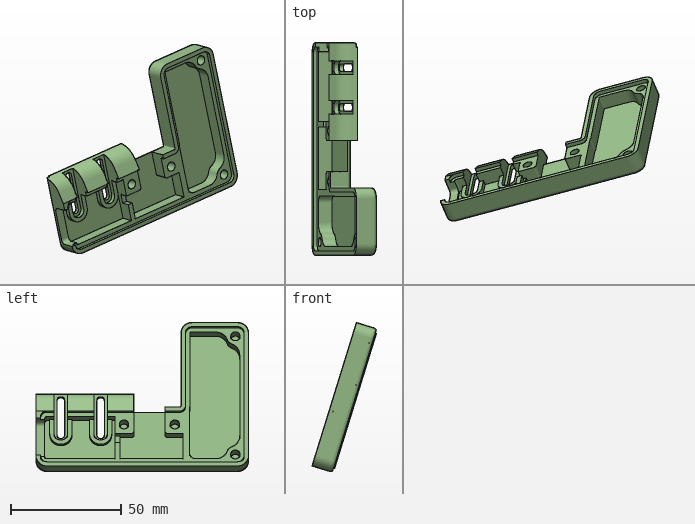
import cadquery as cq
import math

LEAN_ANGLE = 17.2

TOTAL_LENGTH = 96.3
TOTAL_DEPTH = 10.16
BODY_WIDTH = 30.6
BODY_HEIGHT = 68.02
ARM_HEIGHT = 28.0
CORNER_RADIUS = 5.0
INNER_CORNER_RADIUS = 0.6
FLOOR_DEPTH = 8.2
BACK_ROUNDING = 2.0
BACK_LEDGE_DEPTH = 9.6

RIM = 2.0
RECESS_DEPTH = 1.8
WALL = 4.0
POCKET_DEPTH = FLOOR_DEPTH - RECESS_DEPTH

GAP_START = 37.9
GAP_END = 51.9

SCREW_DIAMETER = 4.2
BODY_SCREW_INSET = 6.0
ARM_SCREW_HEIGHT = 20.25
ARM_SCREW_POSITIONS = (33.4, 56.4)
BLOCK_BOTTOM = 16.0
BLOCK_CORNER_RADIUS = 1.2

BODY_SCREW_WALL_RADIUS = 4.0
BODY_SCREW_BLEND = 5.5
BODY_POCKET_RADIUS = 3.0
BODY_POCKET_TOP_RADIUS = 0.5
BODY_POCKET_WIDENING = 0.25
BODY_POCKET_STEP = (27.8, 28.6)

MIDDLE_POCKET_START = 29.8
MIDDLE_POCKET_END = 58.2
END_POCKET_START = 60.5
END_POCKET_TOP = 24.0
END_POCKET_RADIUS = 1.0
DIVIDER_STEP_HEIGHT = 11.8
LOW_RIB_DEPTH = 6.0

BARREL_FRONT_HEIGHT = ARM_HEIGHT - RIM
BARREL_ARC_START = (1.9, 31.0)
BARREL_ARC_END = (7.8, 36.45)
BARREL_TOP_HEIGHT = BARREL_ARC_END[1] + (TOTAL_DEPTH - BARREL_ARC_END[0]) * math.tan(math.radians(LEAN_ANGLE))

CHANNEL_POSITIONS = (67.0, 85.0)
CHANNEL_WIDTH = 6.1
CHANNEL_WALL = 2.0
CHANNEL_BOTTOM_CENTER = 17.2
SLOT_WIDTH = 3.3
SLOT_TOP = 35.3
SLOT_TOP_RADIUS = 1.3

NOTCH_BOTTOM = 5.1
NOTCH_TOP = 22.7
NOTCH_DEPTH = 7.3
NOTCH_FILLET = 1.9

CLEARANCE = 1.0


def box(depths, lengths, heights):
    """A block spanning the given (start, end) depths, lengths and heights."""
    return cq.Workplane("XY").box(
        depths[1] - depths[0], lengths[1] - lengths[0], heights[1] - heights[0], centered=False
    ).translate((depths[0], lengths[0], heights[0]))


def cylinder(diameter, position, height, depths):
    """A cylinder along the depth axis."""
    return (
        cq.Workplane("YZ", origin=(depths[0], position, height))
        .circle(diameter / 2)
        .extrude(depths[1] - depths[0])
    )


def edge_at(length, height):
    """Selects the depthwise edge at one point of the front outline."""
    tolerance = 0.01
    return cq.selectors.BoxSelector(
        (-TOTAL_DEPTH, length - tolerance, height - tolerance),
        (2 * TOTAL_DEPTH, length + tolerance, height + tolerance),
    )


def upright_block(length, height, corners):
    """A block with rounded outline corners, deep enough to hold the whole back rounding."""
    block = box((0, FLOOR_DEPTH + BACK_ROUNDING), (0, length), (0, height))
    return block.edges(corners).fillet(CORNER_RADIUS)


def back_shaped(block, back_edges):
    """Rounds the back edges, cuts the rounding short at a ledge and raises a pad inside the ledge."""
    rounded = block.faces(">X").edges(back_edges).fillet(BACK_ROUNDING)
    pad_outline = rounded.faces(">X").val().outerWire()
    pad = cq.Solid.extrudeLinear(pad_outline, [], cq.Vector(-BACK_ROUNDING, 0, 0))
    bounds = block.val().BoundingBox()
    lengths, heights = (0, bounds.ymax), (0, bounds.zmax)
    ledge = rounded.intersect(box((0, BACK_LEDGE_DEPTH), lengths, heights))
    return ledge.union(cq.Workplane(pad).intersect(box((0, TOTAL_DEPTH), lengths, heights)))


def body_block():
    return back_shaped(upright_block(BODY_WIDTH, BODY_HEIGHT, "|X"), None)


def arm_block(height, back_edges):
    return back_shaped(upright_block(TOTAL_LENGTH, height, "|X and <Z"), back_edges)


def barrel_profile():
    """Sloped front, round shoulder and a top that is level once the part leans back."""
    profile = (
        cq.Workplane("XZ")
        .moveTo(0, 0)
        .lineTo(0, BARREL_FRONT_HEIGHT)
        .lineTo(*BARREL_ARC_START)
        .tangentArcPoint(BARREL_ARC_END, relative=False)
        .lineTo(TOTAL_DEPTH, BARREL_TOP_HEIGHT)
        .lineTo(TOTAL_DEPTH, 0)
        .close()
    )
    return profile.extrude(-TOTAL_LENGTH)


def shell():
    """The body with its arm; the barrel part of the arm stays sharp along its back top edge."""
    low_arm = arm_block(ARM_HEIGHT, None)
    low_arm = low_arm.intersect(box((0, TOTAL_DEPTH), (0, GAP_END), (0, ARM_HEIGHT)))
    barrel_arm = arm_block(BARREL_TOP_HEIGHT, "not >Z").intersect(barrel_profile())
    barrel_arm = barrel_arm.intersect(box((0, TOTAL_DEPTH), (GAP_END, TOTAL_LENGTH), (0, BARREL_TOP_HEIGHT)))
    solid = body_block().union(low_arm).union(barrel_arm)
    inner_corner = solid.edges(edge_at(BODY_WIDTH, ARM_HEIGHT))
    return inner_corner.fillet(INNER_CORNER_RADIUS)


def lid_recess():
    """The shell outline moved inwards by the rim."""
    radius = CORNER_RADIUS - RIM
    depths = (0, RECESS_DEPTH)
    body = box(depths, (RIM, BODY_WIDTH - RIM), (RIM, BODY_HEIGHT - RIM)).edges("|X").fillet(radius)
    arm = box(depths, (RIM, TOTAL_LENGTH - RIM), (RIM, ARM_HEIGHT - RIM)).edges("|X").fillet(radius)
    recess = body.union(arm)
    return recess.edges(edge_at(BODY_WIDTH - RIM, ARM_HEIGHT - RIM)).fillet(INNER_CORNER_RADIUS + RIM)


def body_pocket():
    depths = (RECESS_DEPTH, FLOOR_DEPTH)
    left = BODY_WIDTH - WALL
    wide_left = left + BODY_POCKET_WIDENING
    top = BODY_HEIGHT - WALL
    step_bottom, step_top = BODY_POCKET_STEP
    outline = [(WALL, WALL), (wide_left, WALL), (wide_left, step_bottom), (left, step_top), (left, top), (WALL, top)]
    pocket = cq.Workplane("YZ", origin=(RECESS_DEPTH, 0, 0)).polyline(outline).close().extrude(POCKET_DEPTH)
    pocket = pocket.edges(edge_at(wide_left, WALL)).fillet(BODY_POCKET_RADIUS)
    pocket = pocket.edges(edge_at(left, top)).fillet(BODY_POCKET_TOP_RADIUS)
    inset = BODY_SCREW_INSET - WALL
    reach = inset + (BODY_SCREW_WALL_RADIUS**2 - inset**2) ** 0.5
    for height in (BODY_SCREW_INSET, BODY_HEIGHT - BODY_SCREW_INSET):
        pocket = pocket.cut(cylinder(2 * BODY_SCREW_WALL_RADIUS, BODY_SCREW_INSET, height, depths))
    for corner, step in ((WALL, 1), (top, -1)):
        for length, height in ((WALL + reach, corner), (WALL, corner + step * reach)):
            pocket = pocket.edges(edge_at(length, height)).fillet(BODY_SCREW_BLEND)
    return pocket


def middle_pocket():
    """The pocket between the screw blocks, open through the top of the arm."""
    depths = (RECESS_DEPTH, FLOOR_DEPTH)
    lower = box(depths, (MIDDLE_POCKET_START, MIDDLE_POCKET_END), (WALL, BLOCK_BOTTOM))
    gap_depths = (-CLEARANCE, FLOOR_DEPTH)
    gap = box(gap_depths, (GAP_START, GAP_END), (WALL, ARM_HEIGHT + CLEARANCE))
    gap_front = box((-CLEARANCE, RECESS_DEPTH), (GAP_START, GAP_END), (RIM, ARM_HEIGHT))
    pocket = lower.union(gap.cut(gap_front))
    for length in (GAP_START, GAP_END):
        pocket = pocket.edges(edge_at(length, BLOCK_BOTTOM)).fillet(BLOCK_CORNER_RADIUS)
    return pocket.union(box((0, FLOOR_DEPTH), (GAP_START, GAP_END), (BLOCK_BOTTOM + WALL, ARM_HEIGHT)))


def end_pocket():
    depths = (RECESS_DEPTH, FLOOR_DEPTH)
    pocket = box(depths, (END_POCKET_START, TOTAL_LENGTH - WALL), (WALL, END_POCKET_TOP))
    pocket = pocket.edges("|X and >Y").fillet(END_POCKET_RADIUS)
    step = box((RECESS_DEPTH, LOW_RIB_DEPTH), (MIDDLE_POCKET_END, END_POCKET_START),
               (DIVIDER_STEP_HEIGHT, BLOCK_BOTTOM))
    return pocket.union(step)


def upright_slot(width, position, top, depths):
    """A tall block with a half-round lower end."""
    straight = box(depths, (position - width / 2, position + width / 2), (CHANNEL_BOTTOM_CENTER, top))
    return straight.union(cylinder(width, position, CHANNEL_BOTTOM_CENTER, depths))


def end_notch():
    notch = box((-CLEARANCE, NOTCH_DEPTH), (TOTAL_LENGTH - WALL, TOTAL_LENGTH + CLEARANCE),
                (NOTCH_BOTTOM, NOTCH_TOP))
    return notch.edges("|Y and >X").fillet(NOTCH_FILLET)


def build():
    part = shell().cut(lid_recess()).cut(body_pocket()).cut(middle_pocket()).cut(end_pocket())
    part = part.cut(end_notch())

    screw_depths = (0, FLOOR_DEPTH)
    for height in (BODY_SCREW_INSET, BODY_HEIGHT - BODY_SCREW_INSET):
        part = part.cut(cylinder(SCREW_DIAMETER, BODY_SCREW_INSET, height, screw_depths))
    for position in ARM_SCREW_POSITIONS:
        part = part.cut(cylinder(SCREW_DIAMETER, position, ARM_SCREW_HEIGHT, screw_depths))

    for position in CHANNEL_POSITIONS:
        wall_width = CHANNEL_WIDTH + 2 * CHANNEL_WALL
        part = part.union(upright_slot(wall_width, position, END_POCKET_TOP, (LOW_RIB_DEPTH, FLOOR_DEPTH)))
        channel_top = BARREL_TOP_HEIGHT + CLEARANCE
        part = part.cut(upright_slot(CHANNEL_WIDTH, position, channel_top, (-CLEARANCE, FLOOR_DEPTH)))
        slot = upright_slot(SLOT_WIDTH, position, SLOT_TOP, (FLOOR_DEPTH, TOTAL_DEPTH))
        part = part.cut(slot.edges("|X and >Z").fillet(SLOT_TOP_RADIUS))
    return part


result = build().rotate((0, 0, 0), (0, 1, 0), LEAN_ANGLE)